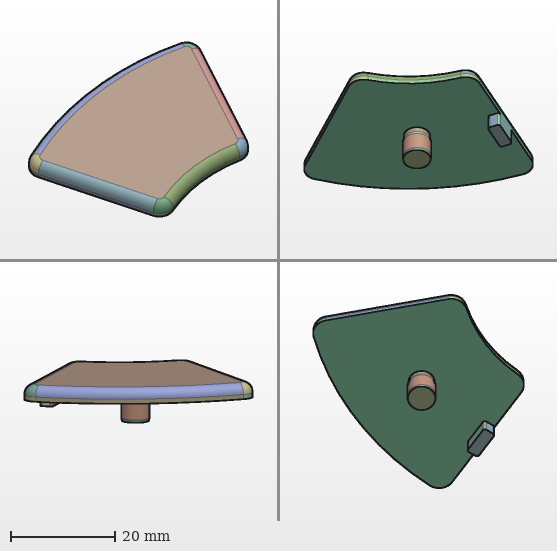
import cadquery as cq
import math

outer_radius = 60.0
inner_radius = outer_radius / 2
sector_angle = 45.0
plate_thickness = 3.0
corner_radius = 3.0
top_edge_radius = 2.0

middle_radius = (outer_radius + inner_radius) / 2
neck_diameter = 5.1
post_diameter = 5.5
tip_diameter = 5.25
neck_length = 1.0
shoulder_length = 0.75
tip_length = 0.6
post_length = 6.0

tab_length = 6.0
tab_width = 2.5
tab_height = 3.1
tab_corner_radius = 0.5


def polar_point(radius, angle):
    """Point at an angle in degrees, measured from -X toward -Y."""
    turn = math.radians(angle)
    return (-radius * math.cos(turn), -radius * math.sin(turn))


def make_plate():
    half_angle = sector_angle / 2
    return (
        cq.Workplane("XY")
        .moveTo(*polar_point(inner_radius, 0))
        .lineTo(*polar_point(outer_radius, 0))
        .threePointArc(polar_point(outer_radius, half_angle), polar_point(outer_radius, sector_angle))
        .lineTo(*polar_point(inner_radius, sector_angle))
        .threePointArc(polar_point(inner_radius, half_angle), polar_point(inner_radius, 0))
        .close()
        .extrude(plate_thickness)
        .edges("|Z")
        .fillet(corner_radius)
        .faces(">Z")
        .edges()
        .fillet(top_edge_radius)
    )


def make_post():
    """Revolved post with a narrow neck, a sloped shoulder and a tapered tip."""
    center_x, center_y = polar_point(middle_radius, sector_angle / 2)
    root_z = plate_thickness / 2
    profile = [
        (0, root_z),
        (neck_diameter / 2, root_z),
        (neck_diameter / 2, -neck_length),
        (post_diameter / 2, -neck_length - shoulder_length),
        (post_diameter / 2, tip_length - post_length),
        (tip_diameter / 2, -post_length),
        (0, -post_length),
    ]
    return (
        cq.Workplane("XZ")
        .polyline(profile)
        .close()
        .revolve(360, (0, 0), (0, 1))
        .translate((center_x, center_y, 0))
    )


def make_tab():
    """Block with rounded upright edges, flush with the straight plate edge."""
    return (
        cq.Workplane("XY")
        .center(-middle_radius, -tab_width / 2)
        .rect(tab_length, tab_width)
        .extrude(-tab_height)
        .edges("|Z")
        .fillet(tab_corner_radius)
    )


result = make_plate().union(make_post()).union(make_tab())